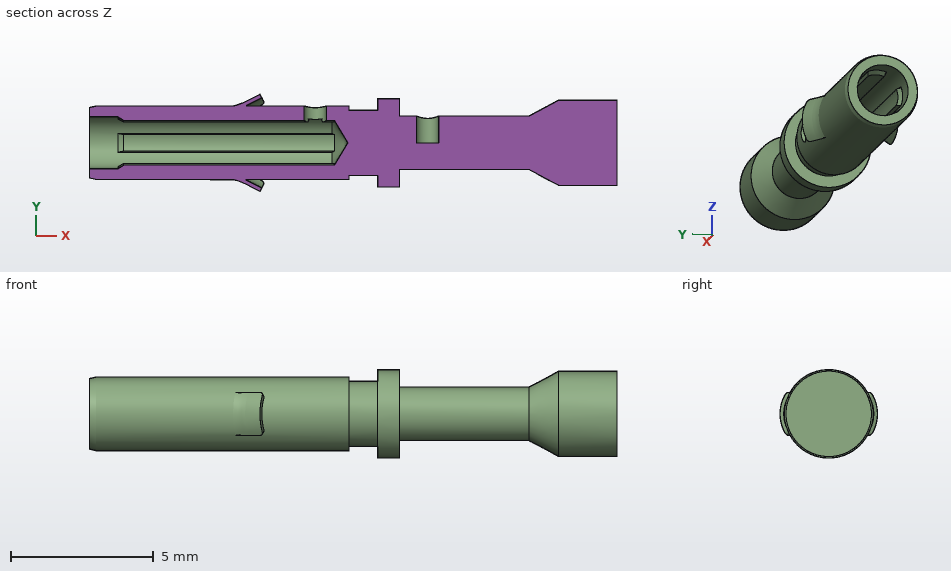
import cadquery as cq
import math

sleeve_end = 9.1
flange_start = 10.1
flange_end = 10.88
cone_start = 15.41
cone_end = 16.45
length = 18.5

sleeve_radius = 1.3
neck_radius = 1.15
flange_radius = 1.55
shank_radius = 0.95
bell_radius = 1.5

bevel_length = 0.24
bevel_depth = 0.05

bore_radius = 0.9
bore_depth = 8.51
drill_point_angle = 118.0
drill_point_length = bore_radius / math.tan(math.radians(drill_point_angle / 2))

rib_count = 4
rib_start = 1.0
rib_ramp_length = 0.2
rib_inner_radius = 0.78
rib_span = 43.0

sleeve_hole_x = 7.92
shank_hole_x = 11.85
side_hole_radius = 0.39

tab_bend_x = 4.59
tab_bend_radius = 1.95
tab_angle = 27.0
tab_tip_width = 3.42
tab_sink = 0.05
tab_thickness = sleeve_radius - neck_radius
tab_half_span = 37.5
tab_corner_radius = 0.13
tab_root_radius = sleeve_radius - tab_sink


def turned_body():
    """Solid of revolution about X: sleeve, neck, flange, shank and bell."""
    outline = [
        (0, 0),
        (0, sleeve_radius - bevel_depth),
        (bevel_length, sleeve_radius),
        (sleeve_end, sleeve_radius),
        (sleeve_end, neck_radius),
        (flange_start, neck_radius),
        (flange_start, flange_radius),
        (flange_end, flange_radius),
        (flange_end, shank_radius),
        (cone_start, shank_radius),
        (cone_end, bell_radius),
        (length, bell_radius),
        (length, 0),
    ]
    return cq.Workplane("XY").polyline(outline).close().revolve(360, (0, 0, 0), (1, 0, 0))


def contact_rib(direction):
    """Rib centred at an angle about X, reaching from inside the wall to its inner radius."""
    end = bore_depth + drill_point_length
    outline = [
        (rib_start, bore_radius),
        (rib_start + rib_ramp_length, rib_inner_radius),
        (end, rib_inner_radius),
        (end, sleeve_radius),
        (rib_start, sleeve_radius),
    ]
    rib = cq.Workplane("XY").polyline(outline).close().revolve(rib_span, (0, 0, 0), (1, 0, 0))
    return rib.rotate((0, 0, 0), (1, 0, 0), direction - rib_span / 2)


def socket_bore():
    """Blind bore from the socket end with a drill point, leaving the contact ribs standing."""
    outline = [
        (0, 0),
        (0, bore_radius),
        (bore_depth, bore_radius),
        (bore_depth + drill_point_length, 0),
    ]
    bore = cq.Workplane("XY").polyline(outline).close().revolve(360, (0, 0, 0), (1, 0, 0))
    for index in range(rib_count):
        bore = bore.cut(contact_rib(index * 360 / rib_count))
    return bore


def side_hole(x):
    """Round hole from the axis outwards through the +Y wall."""
    return (
        cq.Workplane("XZ", origin=(x, 0, 0))
        .circle(side_hole_radius)
        .extrude(-flange_radius)
    )


def tab_section():
    """Ring segment about the part axis, centred on +Y, where the tab bend starts."""
    outer = tab_root_radius
    inner = outer - tab_thickness
    half_span = math.radians(tab_half_span)
    side_y = math.cos(half_span)
    side_z = math.sin(half_span)
    return (
        cq.Workplane("YZ", origin=(tab_bend_x, 0, 0))
        .moveTo(inner * side_y, -inner * side_z)
        .lineTo(outer * side_y, -outer * side_z)
        .threePointArc((outer, 0), (outer * side_y, outer * side_z))
        .lineTo(inner * side_y, inner * side_z)
        .threePointArc((inner, 0), (inner * side_y, -inner * side_z))
        .close()
    )


def tab():
    """+Y tab: a bend away from the part axis followed by a straight tongue."""
    bend_centre_y = tab_root_radius + tab_bend_radius
    bend = tab_section().revolve(tab_angle, (bend_centre_y, 0), (bend_centre_y, 1))

    angle = math.radians(tab_angle)
    tab_reach = tab_tip_width / 2
    bend_rise = tab_bend_radius * (1 - math.cos(angle))
    tongue_length = (tab_reach - tab_root_radius - bend_rise) / math.sin(angle)
    tongue = (
        tab_section()
        .extrude(tongue_length)
        .faces(">X")
        .edges("%LINE")
        .fillet(tab_corner_radius)
        .rotate((tab_bend_x, bend_centre_y, 0), (tab_bend_x, bend_centre_y, 1), tab_angle)
    )
    return bend.union(tongue)


upper_tab = tab()
result = turned_body().union(upper_tab).union(upper_tab.mirror("XZ"))
result = result.cut(socket_bore())
for hole_x in (sleeve_hole_x, shank_hole_x):
    result = result.cut(side_hole(hole_x))